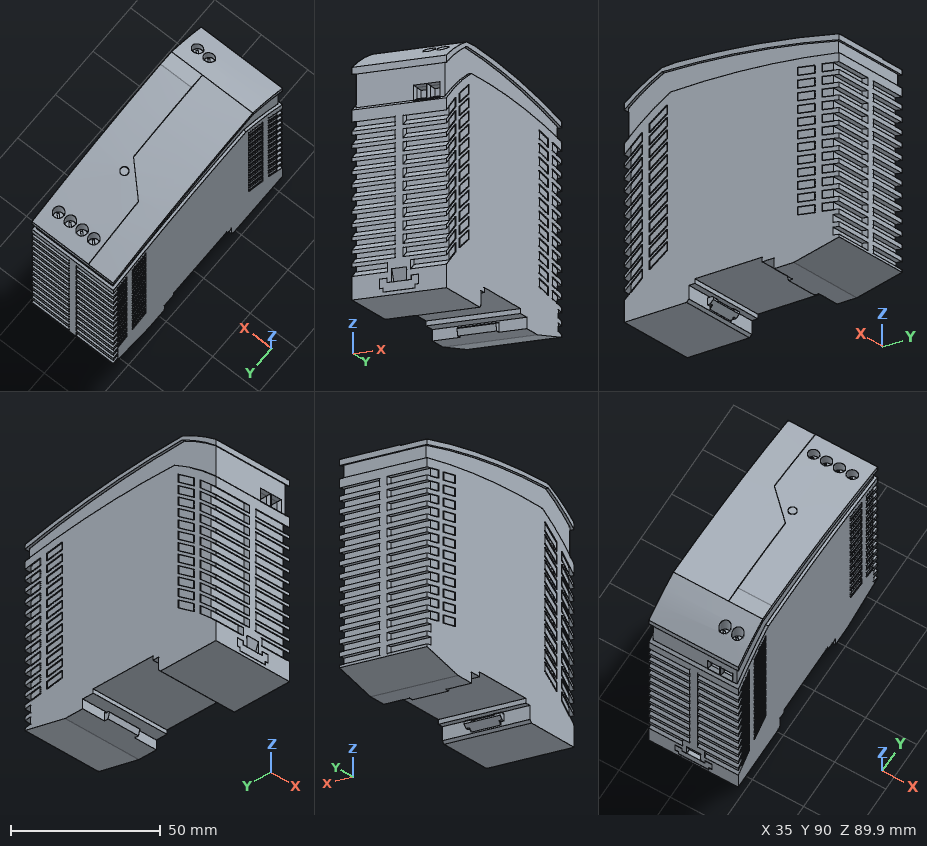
import cadquery as cq
import math

width = 35.0
depth = 90.0
half_width = width / 2
half_depth = depth / 2
overcut = 0.9

rear_foot_y = 26.0
rear_foot_z = 2.1
rear_bottom_z = 6.1
rear_channel_y = 17.7
front_channel_y = -17.9
channel_ledge_z = 6.0
channel_top_z = 7.7
channel_top_rear_y = 12.8
channel_top_front_y = -15.4
foot_chamfer = 1.0

housing_rear_z = 74.2
housing_ridge_y = -25.6
housing_ridge_z = 79.6
housing_front_z = 66.1
housing_rear_bulge = 1.7
housing_front_bulge = 0.7

neck_inset = 1.1

lid_rear_z = 80.9
lid_ridge_y = -29.2
lid_ridge_z = 89.6
lid_front_z = 80.9
lid_rear_bulge = 1.9
lid_front_bulge = 0.5
lid_rear_thickness = 2.0
lid_ridge_thickness = 1.6
lid_front_thickness = 2.5

panel_rise = 0.3
panel_taper_y = -23.3
tool_top_z = lid_ridge_z + panel_rise + overcut
panel_rear_x = -6.8
panel_front_x = 4.1
panel_jog_rear_y = 18.45
panel_jog_front_y = panel_jog_rear_y - (panel_front_x - panel_rear_x)

lamp_x = 3.5
lamp_y = 13.1
lamp_radius = 1.5
lamp_floor_z = 86.5

terminal_pitch = 5.0
last_terminal_x = 12.2
front_terminal_count = 2
rear_terminal_count = 4
front_screw_y = -36.5
rear_screw_y = 37.3
screw_radius = 2.1
front_screw_z = 81.0
rear_screw_z = 77.85
screw_slot_length = 3.2
screw_slot_width = 0.7
screw_slot_depth = 0.45
screw_slot_angle = -45

entry_mouth_width = 4.8
entry_throat_width = 3.5
entry_end_width = 2.9
entry_mouth_z = (66.8, 72.3)
entry_throat_z = (67.8, 71.7)
entry_end_z = (68.4, 71.4)
entry_throat_depth = 1.35
entry_end_depth = 4.05

vent_column_gap = 3.1
vent_recess = 0.4
vent_count = 12
groove_depth = 2.6
groove_web = 3.0

front_vent_column_width = 7.4
front_vent_height = 3.15
front_vent_pitch = 4.6
front_outer_top_z = (61.8, 68.0)
front_inner_top_z = (70.3, 75.2)
low_groove_web = 8.6

rear_vent_column_width = 7.2
rear_vent_height = 2.9
rear_vent_pitch = 4.7
rear_outer_top_z = (70.8, 72.1)
rear_inner_top_z = (72.45, 73.6)
rear_groove_count = 14

latch_half_width = 7.2
latch_notch_half_width = 4.5
latch_foot_half_width = 5.9
latch_notch_z = 4.5
latch_step_z = 2.7
latch_foot_z = 1.35
latch_recess = 0.1
hook_reach = 2.4
latch_hook_top_z = 5.2
latch_hook_flat = 2.0
latch_nose_z = (4.0, 4.8)
latch_hook_root_z = 1.5
fixed_hook_top_z = 5.5
fixed_hook_step = (0.8, 5.0)
fixed_hook_brow = (1.9, 4.95)
fixed_hook_nose_z = 4.5
fixed_hook_foot = 1.7
pull_width = 5.4
pull_top_z = 9.1
pull_depth = 1.8


def side_profile():
    """Sketch plane across the width: local x is Y, local y is Z."""
    return cq.Workplane("YZ")


def across(profile, x_start, x_end):
    """Extrude a closed side profile from one X position to another."""
    return profile.extrude(x_end - x_start).translate((x_start, 0, 0))


def bulged_point(start, end, bulge):
    """Middle of the line between two (Y, Z) points, lifted squarely off it by bulge."""
    (low_y, low_y_z), (high_y, high_y_z) = sorted((start, end))
    run = high_y - low_y
    rise = high_y_z - low_y_z
    length = math.hypot(run, rise)
    return ((low_y + high_y) / 2 - bulge * rise / length,
            (low_y_z + high_y_z) / 2 + bulge * run / length)


def arched_top(outline, rear, ridge, front, rear_bulge, front_bulge):
    """Draw the two arcs rear-ridge-front, starting from the rear point."""
    return (outline
            .threePointArc(bulged_point(rear, ridge, rear_bulge), ridge)
            .threePointArc(bulged_point(ridge, front, front_bulge), front))


def make_housing():
    rear = (half_depth, housing_rear_z)
    ridge = (housing_ridge_y, housing_ridge_z)
    front = (-half_depth, housing_front_z)
    outline = arched_top(side_profile().moveTo(*rear), rear, ridge, front,
                         housing_rear_bulge, housing_front_bulge)
    outline = (outline
               .lineTo(-half_depth, 0)
               .lineTo(front_channel_y - foot_chamfer, 0)
               .lineTo(front_channel_y, foot_chamfer)
               .lineTo(front_channel_y, channel_ledge_z)
               .lineTo(channel_top_front_y, channel_ledge_z)
               .lineTo(channel_top_front_y, channel_top_z)
               .lineTo(channel_top_rear_y, channel_top_z)
               .lineTo(channel_top_rear_y, channel_ledge_z)
               .lineTo(rear_channel_y, channel_ledge_z)
               .lineTo(rear_channel_y, rear_foot_z)
               .lineTo(rear_foot_y, rear_foot_z)
               .lineTo(half_depth, rear_bottom_z)
               .close())
    return across(outline, -half_width, half_width)


def lid_outline():
    rear = (half_depth, lid_rear_z)
    ridge = (lid_ridge_y, lid_ridge_z)
    front = (-half_depth, lid_front_z)
    low_rear = (half_depth, lid_rear_z - lid_rear_thickness)
    low_ridge = (lid_ridge_y, lid_ridge_z - lid_ridge_thickness)
    low_front = (-half_depth, lid_front_z - lid_front_thickness)
    outline = arched_top(side_profile().moveTo(*rear), rear, ridge, front,
                         lid_rear_bulge, lid_front_bulge)
    return (outline
            .lineTo(*low_front)
            .threePointArc(bulged_point(low_front, low_ridge, lid_front_bulge), low_ridge)
            .threePointArc(bulged_point(low_ridge, low_rear, lid_rear_bulge), low_rear)
            .close())


def make_neck():
    """Inset block that reaches from inside the housing up into the lid."""
    neck_end_y = half_depth - neck_inset
    rear = (neck_end_y, lid_rear_z - lid_rear_thickness / 2)
    ridge = (lid_ridge_y, lid_ridge_z - lid_ridge_thickness / 2)
    front = (-neck_end_y, lid_front_z - lid_front_thickness / 2)
    outline = arched_top(side_profile().moveTo(*rear), rear, ridge, front,
                         lid_rear_bulge, lid_front_bulge)
    outline = (outline
               .lineTo(-neck_end_y, housing_front_z - overcut)
               .lineTo(neck_end_y, housing_front_z - overcut)
               .close())
    return across(outline, neck_inset - half_width, half_width - neck_inset)


def make_raised_panel():
    rear = (half_depth, lid_rear_z)
    ridge = (lid_ridge_y, lid_ridge_z)
    middle_y, middle_z = bulged_point(rear, ridge, lid_rear_bulge)
    raised_rear = (half_depth, lid_rear_z + panel_rise)
    raised_end = (panel_taper_y, lid_ridge_z + panel_rise)
    sheet = across(side_profile()
                   .moveTo(*rear)
                   .lineTo(*raised_rear)
                   .threePointArc((middle_y, middle_z + panel_rise), raised_end)
                   .lineTo(*ridge)
                   .threePointArc((middle_y, middle_z), rear)
                   .close(),
                   -half_width, half_width)
    footprint = (cq.Workplane("XY")
                 .moveTo(panel_rear_x, half_depth)
                 .lineTo(panel_rear_x, panel_jog_rear_y)
                 .lineTo(panel_front_x, panel_jog_front_y)
                 .lineTo(panel_front_x, lid_ridge_y)
                 .lineTo(half_width, lid_ridge_y)
                 .lineTo(half_width, half_depth)
                 .close()
                 .extrude(tool_top_z))
    return sheet.intersect(footprint)


def make_lamp_window():
    return (cq.Workplane("XY", origin=(lamp_x, lamp_y, lamp_floor_z))
            .circle(lamp_radius)
            .extrude(tool_top_z - lamp_floor_z))


def terminal_positions(count):
    return [last_terminal_x - index * terminal_pitch for index in range(count)]


def screw_well(x, y, floor_z):
    """Round well with a slotted screw head as its floor."""
    base = cq.Workplane("XY", origin=(x, y, floor_z))
    well = base.circle(screw_radius).extrude(tool_top_z - floor_z)
    slot = (base.transformed(rotate=(0, 0, screw_slot_angle))
            .rect(screw_slot_length, screw_slot_width)
            .extrude(-screw_slot_depth))
    return well.union(slot)


def entry_section(width_here, z_range, entry_depth):
    """Rectangle centred on X = 0 at a given depth behind the neck front."""
    y = neck_inset - half_depth + entry_depth
    half = width_here / 2
    corners = [(-half, y, z_range[0]), (half, y, z_range[0]),
               (half, y, z_range[1]), (-half, y, z_range[1])]
    return cq.Wire.makePolygon([cq.Vector(*corner) for corner in corners], close=True)


def make_wire_entry():
    """Funnel leading into a narrowing terminal pocket."""
    mouth = entry_section(entry_mouth_width, entry_mouth_z, 0)
    throat = entry_section(entry_throat_width, entry_throat_z, entry_throat_depth)
    end = entry_section(entry_end_width, entry_end_z, entry_end_depth)
    funnel = cq.Solid.makeLoft([mouth, throat], True)
    pocket = cq.Solid.makeLoft([throat, end], True)
    return cq.Workplane(funnel).union(cq.Workplane(pocket))


def slanted_slot(y_start, y_end, top_start_z, top_end_z, height):
    """Side profile of a slot whose long edges run along a slope."""
    return side_profile().polyline([
        (y_start, top_start_z), (y_end, top_end_z),
        (y_end, top_end_z - height), (y_start, top_start_z - height)]).close()


def end_vent_tools(end, column_width, outer_top_z, inner_top_z, height, pitch, groove_webs):
    """Cutters for the side slots and end grooves of one end (end is +1 rear, -1 front)."""
    face_y = half_depth
    outer_y = face_y - column_width
    inner_start_y = outer_y - vent_column_gap
    inner_end_y = inner_start_y - column_width
    groove_share = groove_depth / column_width
    groove_floor_z = outer_top_z[0] + groove_share * (outer_top_z[1] - outer_top_z[0])

    right_side = []
    for row, web in enumerate(groove_webs):
        drop = row * pitch
        groove = slanted_slot(end * face_y, end * (face_y - groove_depth),
                              outer_top_z[0] - drop, groove_floor_z - drop, height)
        right_side.append(across(groove, web / 2, half_width))
        if row < vent_count:
            outer = slanted_slot(end * face_y, end * outer_y,
                                 outer_top_z[0] - drop, outer_top_z[1] - drop, height)
            inner = slanted_slot(end * inner_start_y, end * inner_end_y,
                                 inner_top_z[0] - drop, inner_top_z[1] - drop, height)
            right_side.append(across(outer, half_width - vent_recess, half_width))
            right_side.append(across(inner, half_width - vent_recess, half_width))
    left_side = [tool.mirror("YZ") for tool in right_side]
    return right_side + left_side


def latch_bar(y_start, y_end):
    """Bar along Y with the cross-section of the latch."""
    right_half = [(latch_notch_half_width, latch_notch_z),
                  (latch_notch_half_width, channel_ledge_z),
                  (latch_half_width, channel_ledge_z),
                  (latch_half_width, latch_step_z),
                  (latch_foot_half_width, latch_step_z),
                  (latch_foot_half_width, latch_foot_z)]
    left_half = [(-x, z) for x, z in reversed(right_half)]
    return (cq.Workplane("XZ", origin=(0, y_start, 0))
            .polyline(right_half + left_half)
            .close()
            .extrude(y_start - y_end))


def make_latch_hook():
    wedge = across(side_profile().polyline([
        (front_channel_y - overcut, latch_hook_top_z),
        (front_channel_y + latch_hook_flat, latch_hook_top_z),
        (front_channel_y + hook_reach, latch_nose_z[1]),
        (front_channel_y + hook_reach, latch_nose_z[0]),
        (front_channel_y, latch_hook_root_z),
        (front_channel_y - overcut, latch_hook_root_z)]).close(),
        -half_width, half_width)
    return wedge.intersect(latch_bar(front_channel_y - overcut, front_channel_y + hook_reach))


def make_fixed_hook():
    return across(side_profile().polyline([
        (rear_channel_y + overcut, fixed_hook_top_z),
        (rear_channel_y, fixed_hook_top_z),
        (rear_channel_y - fixed_hook_step[0], fixed_hook_step[1]),
        (rear_channel_y - fixed_hook_brow[0], fixed_hook_brow[1]),
        (rear_channel_y - hook_reach, fixed_hook_nose_z),
        (rear_channel_y - fixed_hook_foot, rear_foot_z),
        (rear_channel_y + overcut, rear_foot_z)]).close(),
        -latch_half_width, latch_half_width)


def make_pull_recess():
    """Recess above the latch with a ceiling that slopes down to its floor."""
    return across(side_profile().polyline([
        (-half_depth, latch_notch_z),
        (-half_depth, pull_top_z),
        (-half_depth + pull_depth, latch_notch_z)]).close(),
        -pull_width / 2, pull_width / 2)


lid = across(lid_outline(), -half_width, half_width)
body = make_housing().union(make_neck()).union(lid)
body = body.union(make_raised_panel()).cut(make_lamp_window())

front_webs = [groove_web] * (vent_count - 1) + [low_groove_web]
rear_webs = [groove_web] * rear_groove_count
cutters = end_vent_tools(-1, front_vent_column_width, front_outer_top_z, front_inner_top_z,
                         front_vent_height, front_vent_pitch, front_webs)
cutters += end_vent_tools(1, rear_vent_column_width, rear_outer_top_z, rear_inner_top_z,
                          rear_vent_height, rear_vent_pitch, rear_webs)

for x in terminal_positions(front_terminal_count):
    cutters.append(screw_well(x, front_screw_y, front_screw_z))
    cutters.append(make_wire_entry().translate((x, 0, 0)))
for x in terminal_positions(rear_terminal_count):
    cutters.append(screw_well(x, rear_screw_y, rear_screw_z))

body = cq.Workplane(body.val().cut(*[cutter.val() for cutter in cutters]))
body = body.cut(latch_bar(-half_depth, -half_depth + latch_recess))
body = body.cut(make_pull_recess())
result = body.union(make_latch_hook()).union(make_fixed_hook())